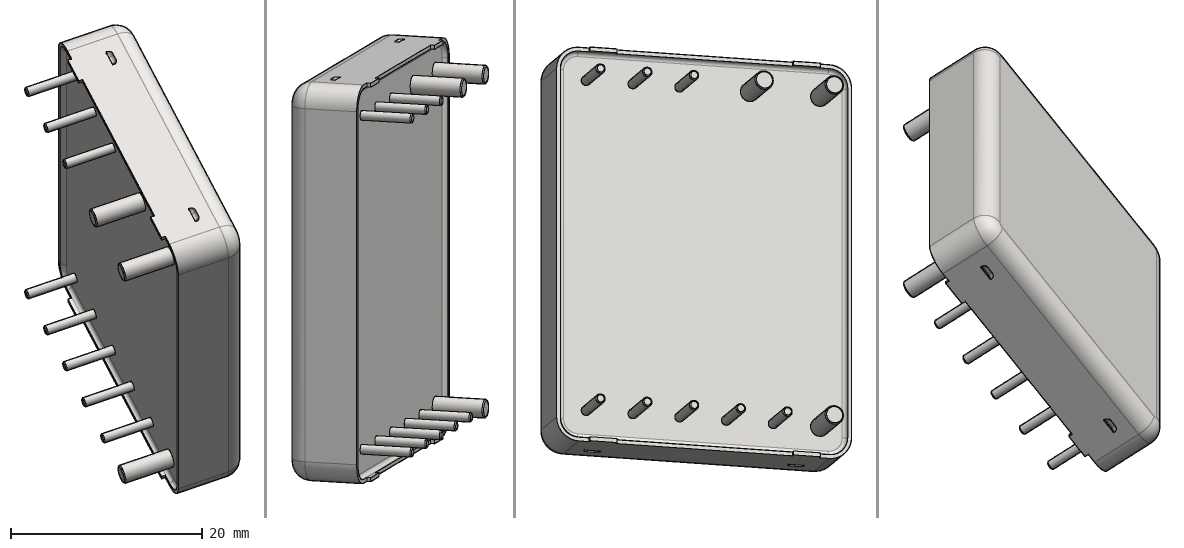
import cadquery as cq

WIDTH = 32.1
HEIGHT = 42.4
CASE_DEPTH = 7.65
CORNER_RADIUS = 2.4
BACK_EDGE_RADIUS = 1.95

RIM_WALL = 0.42
RECESS_DEPTH = 0.5
COVE_RADIUS = 0.45

PIN_LENGTH = 5.1
PIN_PITCH = 5.1
PIN_ROW_Z = 17.75
SMALL_PIN_DIAMETER = 1.0
LARGE_PIN_DIAMETER = 2.0
PIN_TIP_CHAMFER = 0.13
PIN_COLUMN_COUNT = 6
FIRST_PIN_X = -(PIN_COLUMN_COUNT - 1) * PIN_PITCH / 2

TAB_X = 11.05
TAB_WIDTH = 2.93
TAB_HEIGHT = 0.42
DENT_WIDTH = 1.8
DENT_LENGTH = 0.6
DENT_DEPTH = 0.45
DENT_RADIUS = 0.45
DENT_FROM_RIM = 3.65

TOP_SMALL_COLUMNS = (0, 1, 2)
TOP_LARGE_COLUMNS = (3.5, 5)
BOTTOM_SMALL_COLUMNS = (0, 1, 2, 3, 4)
BOTTOM_LARGE_COLUMNS = (5,)


def upright_block(width, height, depth, corner_radius):
    """Block from Y = 0 to Y = depth with rounded corners along Y."""
    block = cq.Workplane("XY").box(width, depth, height).translate((0, depth / 2, 0))
    return block.edges("|Y").fillet(corner_radius)


def case_body():
    """Case with a rounded back edge and a coved recess inside the rim."""
    body = upright_block(WIDTH, HEIGHT, CASE_DEPTH, CORNER_RADIUS)
    body = body.faces(">Y").edges().fillet(BACK_EDGE_RADIUS)
    recess = upright_block(
        WIDTH - 2 * RIM_WALL,
        HEIGHT - 2 * RIM_WALL,
        RECESS_DEPTH,
        CORNER_RADIUS - RIM_WALL,
    )
    recess = recess.faces(">Y").edges().fillet(COVE_RADIUS)
    return body.cut(recess)


def pin(x, z, diameter):
    """Round pin from the recess floor to its chamfered tip."""
    length = PIN_LENGTH + RECESS_DEPTH
    shaft = cq.Workplane("XZ").circle(diameter / 2).extrude(length)
    shaft = shaft.faces("<Y").chamfer(PIN_TIP_CHAMFER)
    return shaft.translate((x, RECESS_DEPTH, z))


def pin_row(columns, z, diameter):
    """Equal pins at the given columns of one row."""
    row = cq.Workplane("XY")
    for column in columns:
        row = row.add(pin(FIRST_PIN_X + column * PIN_PITCH, z, diameter))
    return row.combine()


def tab(x, side):
    """Rectangular standoff on the rim; side is +1 for the top, -1 for the bottom."""
    z = side * (HEIGHT - RIM_WALL) / 2
    block = cq.Workplane("XY").box(TAB_WIDTH, TAB_HEIGHT, RIM_WALL)
    return block.translate((x, -TAB_HEIGHT / 2, z))


def dent(x, side):
    """Small dish with a flat front wall and rounded back, ends and floor."""
    cutter_height = 2 * DENT_DEPTH
    cutter = cq.Workplane("XY").box(DENT_WIDTH, DENT_LENGTH, cutter_height)
    cutter = cutter.edges("|Z and >Y").fillet(DENT_RADIUS)
    cutter = cutter.faces("<Z").edges("not <Y").fillet(DENT_RADIUS)
    if side < 0:
        cutter = cutter.mirror("XY")
    return cutter.translate((x, DENT_FROM_RIM + DENT_LENGTH / 2, side * HEIGHT / 2))


result = case_body()
for x in (-TAB_X, TAB_X):
    for side in (1, -1):
        result = result.union(tab(x, side)).cut(dent(x, side))
result = result.union(pin_row(TOP_SMALL_COLUMNS, PIN_ROW_Z, SMALL_PIN_DIAMETER))
result = result.union(pin_row(TOP_LARGE_COLUMNS, PIN_ROW_Z, LARGE_PIN_DIAMETER))
result = result.union(pin_row(BOTTOM_SMALL_COLUMNS, -PIN_ROW_Z, SMALL_PIN_DIAMETER))
result = result.union(pin_row(BOTTOM_LARGE_COLUMNS, -PIN_ROW_Z, LARGE_PIN_DIAMETER))